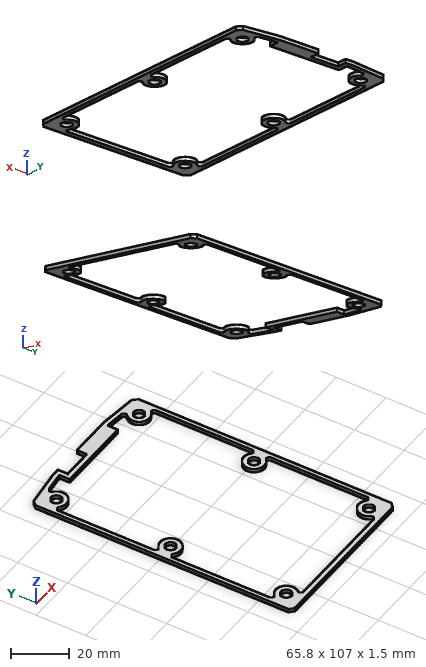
import cadquery as cq
import math

width = 65.8
length = 107.0
thickness = 1.5
corner_chamfer = 1.6

crown_flat = 32.9
crown_drop = 1.9

side_rail = 1.8
bottom_rail = 2.1
top_rail = 2.0

hole_diameter = 4.2
boss_radius = 4.2
boss_x = 26.4
top_boss_y = 45.7
left_boss_y = -0.3
right_boss_y = -0.6
bottom_boss_y = -47.0
web_fillet = 1.1

tab_left = -15.2
tab_right = 15.6
tab_depth = 6.1
notch_left = -13.0
notch_right = -1.0
notch_depth = 4.0

half_width = width / 2
half_length = length / 2
crown_run = half_width - crown_flat / 2
crown_angle = math.atan2(crown_drop, crown_run)


def crown_y(x):
    """Height of the outer top edge at x."""
    return half_length - max(0, abs(x) - crown_flat / 2) * math.tan(crown_angle)


def block(left, right, bottom, top):
    plate = cq.Workplane("XY").box(right - left, top - bottom, thickness, centered=False)
    return plate.translate((left, bottom, 0))


def disc(x, y, radius):
    return cq.Workplane("XY").center(x, y).circle(radius).extrude(thickness)


def crowned_plate(side_inset, bottom_inset, top_inset):
    """Plate with the crowned top edge, inset from the outer outline."""
    side = half_width - side_inset
    bottom = bottom_inset - half_length
    shoulder = crown_y(side) - top_inset
    crown = half_length - top_inset
    return (
        cq.Workplane("XY")
        .moveTo(-side, bottom)
        .lineTo(side, bottom)
        .lineTo(side, shoulder)
        .lineTo(crown_flat / 2, crown)
        .lineTo(-crown_flat / 2, crown)
        .lineTo(-side, shoulder)
        .close()
        .extrude(thickness)
    )


def web(x, y, wall_distance, wall_angle):
    """Neck from a boss to a straight wall, with a fillet tangent to both on each side."""
    fillet_out = wall_distance - web_fillet
    fillet_side = math.sqrt((boss_radius + web_fillet) ** 2 - fillet_out**2)
    neck = (
        cq.Workplane("XY")
        .moveTo(0, 0)
        .lineTo(fillet_out, fillet_side)
        .lineTo(wall_distance, fillet_side)
        .lineTo(wall_distance, -fillet_side)
        .lineTo(fillet_out, -fillet_side)
        .close()
        .extrude(thickness)
    )
    for side in (1, -1):
        neck = neck.cut(disc(fillet_out, side * fillet_side, web_fillet))
    return neck.rotate((0, 0, 0), (0, 0, 1), wall_angle).translate((x, y, 0))


outline = crowned_plate(0, 0, 0).edges("|Z and (<X or >X)").chamfer(corner_chamfer)
frame = outline.cut(crowned_plate(side_rail, bottom_rail, top_rail))

side_distance = half_width - side_rail - boss_x
bottom_distance = bottom_boss_y + half_length - bottom_rail
top_distance = (crown_y(boss_x) - top_rail - top_boss_y) * math.cos(crown_angle)
boss_centers = []
for side, middle_y in ((-1, left_boss_y), (1, right_boss_y)):
    x = side * boss_x
    side_angle = 0 if side > 0 else 180
    for y in (top_boss_y, middle_y, bottom_boss_y):
        boss_centers.append((x, y))
        frame = frame.union(disc(x, y, boss_radius))
        frame = frame.union(web(x, y, side_distance, side_angle))
    top_angle = 90 - side * math.degrees(crown_angle)
    frame = frame.union(web(x, top_boss_y, top_distance, top_angle))
    frame = frame.union(web(x, bottom_boss_y, bottom_distance, -90))

    left, right = sorted((x, side * half_width))
    frame = frame.union(block(left, right, top_boss_y, half_length).intersect(outline))
    frame = frame.union(block(left, right, -half_length, bottom_boss_y).intersect(outline))

frame = frame.union(block(tab_left, tab_right, half_length - tab_depth, half_length))
frame = frame.cut(block(notch_left, notch_right, half_length - notch_depth, half_length))

for x, y in boss_centers:
    frame = frame.cut(disc(x, y, hole_diameter / 2))

result = frame.translate((0, 0, -thickness / 2))